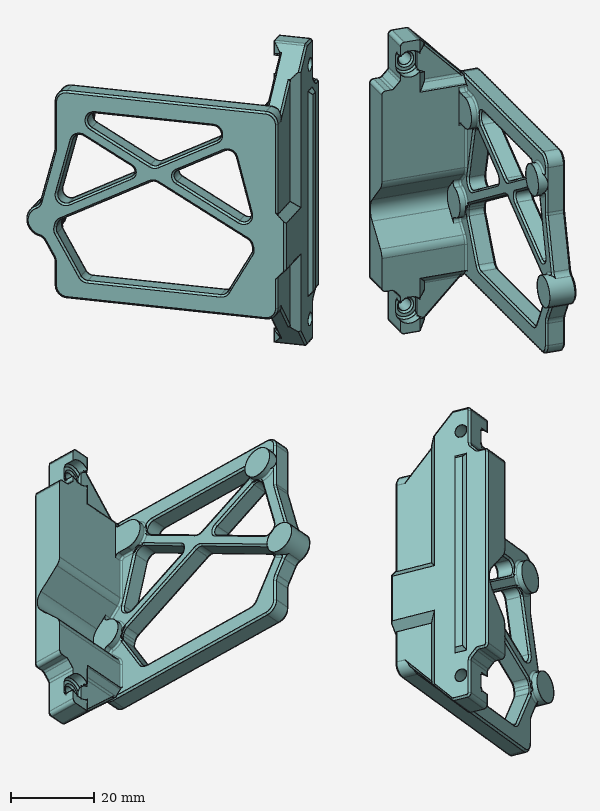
import cadquery as cq
import math


EDGE = 0.5
SMALL_RADIUS = 1.0

PLATE_LEFT = -58.2
PLATE_RIGHT = -2.1
PLATE_HALF_HEIGHT = 26.5
PLATE_THICKNESS = 5.0
PLATE_CORNER_RADIUS = 3.0
EAR_UPPER_Z = 11.25
EAR_LOWER_Z = -16.9
EAR_BLEND_RADIUS = 2.0
EAR_UPPER_LEAN = 15
EAR_LOWER_LEAN = 30

FRAME_MARGIN = 5.0
WINDOW_RADIUS = 2.0
SIDE_WINDOW_TIP_RADIUS = 1.55
STRUT_WIDTH = 3.0
STRUT_ANGLE = 28
CROSS_Z = 7.6
UPPER_SIDE_MARGIN = 3.55
PIVOT_SIDE_MARGIN = 5.5
LOWER_SIDE_MARGIN = 3.85

BOSS_RADIUS = 4.0
BOSS_TOP_Y = 7.0
BOSS_START_Y = PLATE_THICKNESS / 2
PIVOT_X = -61.4
PIVOT_Z = -7.5
UPPER_LEFT_BOSS_X = -54.2
UPPER_BOSS_Z = 19.0
REST_X = -BOSS_RADIUS - SMALL_RADIUS
MIDDLE_X = (PIVOT_X + REST_X) / 2
UPPER_RIGHT_BOSS_X = 2 * MIDDLE_X - UPPER_LEFT_BOSS_X

WALL_THICKNESS = 8.25
WALL_DEPTH = 27.0
TAB_HALF_HEIGHT = 38.5
TAB_FRONT_Y = 17.1
TAB_BACK_Y = 22.2
TAB_STEP = 2.0
GROOVE_LIP_RADIUS = 3.0
RELIEF_DEPTH_Y = 12.25
POCKET_DEPTH = 2.0
POCKET_START_Z = 24.5

HOLE_Y = (TAB_FRONT_Y + TAB_BACK_Y) / 2
HOLE_Z = 32.5
HOLE_DIAMETER = 3.2
SCREW_SEAT_RADIUS = 3.5
SCREW_SEAT_DEPTH = 3.0
FLARE_NARROW = 2.8
FLARE_WIDE = 3.7

RIDGE_HEIGHT = 1.0
RIDGE_HALF_LENGTH = 26.2
RIDGE_BASE_HALF_WIDTH = 1.6
RIDGE_TOP_HALF_WIDTH = 1.0

OVER = 7.7
PICK_REACH = 0.1


def prism_y(points, y_start, y_end):
    """Extrude an outline of (x, z) points along Y."""
    base = cq.Workplane("XZ", origin=(0, y_start, 0))
    return base.polyline(points).close().extrude(y_start - y_end)


def prism_x(points, x_start, x_end):
    """Extrude an outline of (y, z) points along X."""
    base = cq.Workplane("YZ", origin=(x_start, 0, 0))
    return base.polyline(points).close().extrude(x_end - x_start)


def cylinder_y(x, z, radius, y_start, y_end):
    """Cylinder along Y about the point (x, z)."""
    base = cq.Workplane("XZ", origin=(0, y_start, 0)).center(x, z)
    return base.circle(radius).extrude(y_start - y_end)


def meet(line_a, line_b):
    """Crossing point of two lines, each given as (x, z, angle in degrees)."""
    ax, az, a_angle = line_a
    bx, bz, b_angle = line_b
    a_dx, a_dz = math.cos(math.radians(a_angle)), math.sin(math.radians(a_angle))
    b_dx, b_dz = math.cos(math.radians(b_angle)), math.sin(math.radians(b_angle))
    along = ((bx - ax) * b_dz - (bz - az) * b_dx) / (a_dx * b_dz - a_dz * b_dx)
    return ax + along * a_dx, az + along * a_dz


def mirrored(point):
    """Mirror an (x, z) point left to right in the window pattern."""
    return 2 * MIDDLE_X - point[0], point[1]


def fillet_along_y(body, x, z, radius):
    """Round the edge along Y that passes through (x, z)."""
    box = cq.selectors.BoxSelector(
        (x - PICK_REACH, -OVER, z - PICK_REACH),
        (x + PICK_REACH, WALL_DEPTH + OVER, z + PICK_REACH))
    return body.edges("|Y").edges(box).fillet(radius)


UPPER_EDGE = (PLATE_LEFT, EAR_UPPER_Z, 90 - EAR_UPPER_LEAN)
LOWER_EDGE = (PLATE_LEFT, EAR_LOWER_Z, 90 + EAR_LOWER_LEAN)


def plate_blank(thickness, edge_chamfer):
    """Plate without windows, its outline leaning out to a round ear at the pivot."""
    outline = [
        (PLATE_LEFT, PLATE_HALF_HEIGHT),
        (PLATE_RIGHT, PLATE_HALF_HEIGHT),
        (PLATE_RIGHT, -PLATE_HALF_HEIGHT),
        (PLATE_LEFT, -PLATE_HALF_HEIGHT),
        (PLATE_LEFT, EAR_LOWER_Z),
        meet(UPPER_EDGE, LOWER_EDGE),
        (PLATE_LEFT, EAR_UPPER_Z),
    ]
    body = prism_y(outline, 0, thickness)
    for x, z in outline:
        if x in (PLATE_LEFT, PLATE_RIGHT):
            body = fillet_along_y(body, x, z, PLATE_CORNER_RADIUS)
    body = body.union(cylinder_y(PIVOT_X, PIVOT_Z, BOSS_RADIUS, 0, thickness))
    near_pivot = cq.selectors.BoxSelector(
        (PIVOT_X - BOSS_RADIUS, 0, PIVOT_Z - BOSS_RADIUS),
        (PIVOT_X + BOSS_RADIUS / 2, thickness, PIVOT_Z + BOSS_RADIUS))
    body = body.edges("|Y").edges(near_pivot).fillet(EAR_BLEND_RADIUS)
    return body.faces("<Y or >Y").edges().chamfer(edge_chamfer)


def window_cutter(points, tip_radius):
    """Opening through the plate that widens at both faces to chamfer its rim.

    The first point is the tip of the window, at the crossing of the struts.
    """
    opening = prism_y(points, 0, PLATE_THICKNESS + EDGE)
    opening = fillet_along_y(opening, *points[0], tip_radius)
    for x, z in points[1:]:
        opening = fillet_along_y(opening, x, z, WINDOW_RADIUS)
    outline = opening.faces("<Y").wires().toPending().workplane()
    rim = outline.extrude(EDGE, combine=False, taper=-45).translate((0, EDGE, 0))
    back_rim = rim.mirror("XZ").translate((0, PLATE_THICKNESS, 0))
    return opening.union(rim).union(back_rim)


def windows():
    """Four openings left between the frame and two crossing struts."""
    half_gap = STRUT_WIDTH / 2 / math.cos(math.radians(STRUT_ANGLE))
    apex_top = (MIDDLE_X, CROSS_Z + half_gap)
    apex_bottom = (MIDDLE_X, CROSS_Z - half_gap)
    frame_z = PLATE_HALF_HEIGHT - FRAME_MARGIN
    upper_shift = UPPER_SIDE_MARGIN / math.cos(math.radians(EAR_UPPER_LEAN))
    lower_shift = LOWER_SIDE_MARGIN / math.cos(math.radians(EAR_LOWER_LEAN))
    upper_side = (PLATE_LEFT + upper_shift, EAR_UPPER_Z, 90 - EAR_UPPER_LEAN)
    pivot_shift = PIVOT_SIDE_MARGIN / math.cos(math.radians(EAR_UPPER_LEAN))
    pivot_side = (PLATE_LEFT + pivot_shift, EAR_UPPER_Z, 90 - EAR_UPPER_LEAN)
    lower_side = (PLATE_LEFT + lower_shift, EAR_LOWER_Z, 90 + EAR_LOWER_LEAN)
    rising_top = (*apex_top, STRUT_ANGLE)
    rising_bottom = (*apex_bottom, STRUT_ANGLE)
    falling_top = (*apex_top, -STRUT_ANGLE)
    falling_bottom = (*apex_bottom, -STRUT_ANGLE)

    top_corner = meet(falling_top, (MIDDLE_X, frame_z, 0))
    top = [apex_top, top_corner, mirrored(top_corner)]
    left = [
        meet(falling_bottom, rising_top),
        meet(falling_bottom, upper_side),
        meet(rising_top, upper_side),
    ]
    right = [mirrored(point) for point in left]
    bottom_left = [
        meet(rising_bottom, pivot_side),
        meet(pivot_side, lower_side),
        meet(lower_side, (MIDDLE_X, -frame_z, 0)),
    ]
    bottom_right = [mirrored(point) for point in reversed(bottom_left)]
    bottom = [apex_bottom] + bottom_left + bottom_right
    cutters = [window_cutter(points, WINDOW_RADIUS) for points in (top, bottom)]
    cutters += [window_cutter(points, SIDE_WINDOW_TIP_RADIUS) for points in (left, right)]
    return cutters


def wall_blank():
    """Wall with a tab at each end, its front corners sloping at 45 degrees."""
    upper = [
        (0, TAB_HALF_HEIGHT - TAB_FRONT_Y),
        (TAB_FRONT_Y, TAB_HALF_HEIGHT),
        (TAB_BACK_Y, TAB_HALF_HEIGHT),
        (TAB_BACK_Y, PLATE_HALF_HEIGHT + TAB_STEP),
        (TAB_BACK_Y + TAB_STEP, PLATE_HALF_HEIGHT),
        (WALL_DEPTH, PLATE_HALF_HEIGHT),
    ]
    lower = [(y, -z) for y, z in reversed(upper)]
    body = prism_x(upper + lower, -WALL_THICKNESS, 0)
    rounded = cq.selectors.BoxSelector(
        (-WALL_THICKNESS, EDGE, -TAB_HALF_HEIGHT - 0.8), (0, WALL_DEPTH + 0.8, TAB_HALF_HEIGHT + 0.8))
    return body.edges("|X").edges(rounded).fillet(SMALL_RADIUS)


def relief():
    """Relief on the outer face beside the plate, interrupted behind the groove."""
    depth = -PLATE_RIGHT
    section = [
        (PLATE_RIGHT - EDGE, 0),
        (PLATE_RIGHT, EDGE),
        (PLATE_RIGHT, RELIEF_DEPTH_Y - depth),
        (0, RELIEF_DEPTH_Y),
        (0, 0),
    ]
    cutter = cq.Workplane("XY").polyline(section).close().extrude(TAB_HALF_HEIGHT, both=True)
    half_base = 2 * BOSS_RADIUS
    half_tip = half_base - depth
    kept = prism_y([
        (PLATE_RIGHT - EDGE, PIVOT_Z + half_base + EDGE),
        (0, PIVOT_Z + half_tip),
        (0, PIVOT_Z - half_tip),
        (PLATE_RIGHT - EDGE, PIVOT_Z - half_base - EDGE),
    ], 0, WALL_DEPTH)
    return cutter.cut(kept)


def cut_groove(body):
    """V groove with 45 degree flanks and a round bottom that fits a boss."""
    tangent = BOSS_RADIUS / math.sqrt(2)
    half_mouth = BOSS_RADIUS * math.sqrt(2) + WALL_THICKNESS + REST_X
    section = (
        cq.Workplane("XZ")
        .moveTo(-WALL_THICKNESS, PIVOT_Z + half_mouth)
        .lineTo(REST_X + tangent, PIVOT_Z + tangent)
        .threePointArc((REST_X + BOSS_RADIUS, PIVOT_Z), (REST_X + tangent, PIVOT_Z - tangent))
        .lineTo(-WALL_THICKNESS, PIVOT_Z - half_mouth)
        .close()
    )
    body = body.cut(section.extrude(-WALL_DEPTH))
    for side in (1, -1):
        body = fillet_along_y(body, -WALL_THICKNESS, PIVOT_Z + side * half_mouth, GROOVE_LIP_RADIUS)
    return body


def tab_pocket():
    """Shallow pocket on the inner face of the upper tab, with 45 degree sides."""
    floor_x = -WALL_THICKNESS + POCKET_DEPTH
    end_z = TAB_HALF_HEIGHT + OVER
    section = [
        (-WALL_THICKNESS - OVER, POCKET_START_Z),
        (-WALL_THICKNESS, POCKET_START_Z),
        (floor_x, POCKET_START_Z + POCKET_DEPTH),
        (floor_x, end_z),
        (-WALL_THICKNESS - OVER, end_z),
    ]
    pocket = prism_y(section, 0, TAB_FRONT_Y)
    for x, z in (section[1], section[2]):
        pocket = fillet_along_y(pocket, x, z, SMALL_RADIUS)
    back_slope = [
        (-WALL_THICKNESS, TAB_FRONT_Y),
        (floor_x, TAB_FRONT_Y),
        (floor_x, TAB_FRONT_Y - POCKET_DEPTH),
    ]
    slope = cq.Workplane("XY").polyline(back_slope).close().extrude(end_z)
    return pocket.cut(slope)


def slope_chamfer(edge_x, side, end_y):
    """Cutter that chamfers an edge running up the slope of the upper tab.

    The edge lies at edge_x and ends at end_y; the wall is on the given side of it in X.
    """
    slope_start = TAB_HALF_HEIGHT - TAB_FRONT_Y
    section = [(edge_x, EDGE), (edge_x, 0), (edge_x + side * EDGE, 0)]
    upright = cq.Workplane("XY").polyline(section).close().extrude(end_y * math.sqrt(2))
    return upright.rotate((0, 0, 0), (1, 0, 0), -45).translate((0, 0, slope_start))


def screw_seat():
    """Stepped hole in the upper tab; the seat flares out toward the plate."""
    inner_face = cq.Workplane("YZ", origin=(-WALL_THICKNESS, 0, 0)).center(HOLE_Y, HOLE_Z)
    seat = inner_face.circle(SCREW_SEAT_RADIUS).extrude(SCREW_SEAT_DEPTH)
    seat = seat.faces(">X").edges().chamfer(EDGE)
    clear_of_pocket = cq.Workplane("XY").box(OVER, OVER, OVER, centered=(False, False, True))
    seat = seat.intersect(clear_of_pocket.translate((-WALL_THICKNESS, TAB_FRONT_Y, HOLE_Z)))

    hole = inner_face.circle(HOLE_DIAMETER / 2).extrude(WALL_THICKNESS)
    floor = inner_face.workplane(offset=SCREW_SEAT_DEPTH)
    countersink = floor.circle(HOLE_DIAMETER / 2 + EDGE).workplane(offset=EDGE)
    countersink = countersink.circle(HOLE_DIAMETER / 2).loft()

    flare = prism_x([
        (TAB_FRONT_Y, HOLE_Z + FLARE_NARROW),
        (TAB_FRONT_Y - POCKET_DEPTH, HOLE_Z + FLARE_WIDE),
        (TAB_FRONT_Y - POCKET_DEPTH, HOLE_Z - FLARE_WIDE),
        (TAB_FRONT_Y, HOLE_Z - FLARE_NARROW),
    ], -WALL_THICKNESS, -WALL_THICKNESS + POCKET_DEPTH)
    return seat.union(hole).union(countersink).union(flare)


def ridge():
    """Long ridge with sloping sides and ends, in line with the screw holes."""
    base = cq.Workplane("YZ").center(HOLE_Y, 0)
    base = base.rect(2 * RIDGE_BASE_HALF_WIDTH, 2 * RIDGE_HALF_LENGTH)
    top_length = 2 * (RIDGE_HALF_LENGTH - RIDGE_HEIGHT)
    return base.workplane(offset=RIDGE_HEIGHT).rect(2 * RIDGE_TOP_HALF_WIDTH, top_length).loft()


def wall():
    """Side wall with its groove, relief, screw tabs and ridge."""
    body = wall_blank().faces(">X").edges().chamfer(EDGE)
    body = cut_groove(body.cut(relief()))
    pocket_floor_x = -WALL_THICKNESS + POCKET_DEPTH
    upper_tab_cuts = [
        tab_pocket(),
        slope_chamfer(pocket_floor_x, 1, TAB_FRONT_Y - POCKET_DEPTH),
        slope_chamfer(PLATE_RIGHT, -1, RELIEF_DEPTH_Y + PLATE_RIGHT),
        screw_seat(),
    ]
    for cut in upper_tab_cuts:
        body = body.cut(cut).cut(cut.mirror("XY"))
    return body.union(ridge())


def rest_boss():
    """Boss resting in the groove, blended into both flanks."""
    boss = cylinder_y(REST_X, PIVOT_Z, BOSS_RADIUS, 0, BOSS_TOP_Y)
    blend_along = 2 * math.sqrt(BOSS_RADIUS * SMALL_RADIUS)
    blend_towards = BOSS_RADIUS - SMALL_RADIUS
    touch = BOSS_RADIUS / (BOSS_RADIUS + SMALL_RADIUS)
    to_boss = math.pi + math.atan2(blend_towards, blend_along)
    to_middle = (to_boss + math.pi / 2) / 2
    middle_along = blend_along + SMALL_RADIUS * math.cos(to_middle)
    middle_towards = blend_towards + SMALL_RADIUS * math.sin(to_middle)

    def at(along, towards, side):
        x = REST_X + (towards - along) / math.sqrt(2)
        z = PIVOT_Z + side * (towards + along) / math.sqrt(2)
        return x, z

    for side in (1, -1):
        blend = (
            cq.Workplane("XZ")
            .moveTo(*at(blend_along * touch, blend_towards * touch, side))
            .threePointArc(at(middle_along, middle_towards, side), at(blend_along, BOSS_RADIUS, side))
            .lineTo(*at(0, BOSS_RADIUS, side))
            .lineTo(REST_X, PIVOT_Z)
            .close()
            .extrude(-BOSS_TOP_Y)
        )
        boss = boss.union(blend)
    return boss


def wall_with_bosses():
    """Wall joined to the bosses; the upper right boss runs straight into it."""
    web_end_x = -WALL_THICKNESS + EDGE
    web = prism_y([
        (UPPER_RIGHT_BOSS_X, UPPER_BOSS_Z + BOSS_RADIUS),
        (web_end_x, UPPER_BOSS_Z + BOSS_RADIUS),
        (web_end_x, UPPER_BOSS_Z - BOSS_RADIUS),
        (UPPER_RIGHT_BOSS_X, UPPER_BOSS_Z - BOSS_RADIUS),
    ], 0, BOSS_TOP_Y)
    body = wall().union(web)
    for side in (1, -1):
        web_side_z = UPPER_BOSS_Z + side * BOSS_RADIUS
        body = fillet_along_y(body, -WALL_THICKNESS, web_side_z, SMALL_RADIUS)
    body = body.union(rest_boss())
    round_bosses = [
        (PIVOT_X, PIVOT_Z),
        (UPPER_LEFT_BOSS_X, UPPER_BOSS_Z),
        (UPPER_RIGHT_BOSS_X, UPPER_BOSS_Z),
    ]
    for x, z in round_bosses:
        body = body.union(cylinder_y(x, z, BOSS_RADIUS, BOSS_START_Y, BOSS_TOP_Y))
    return body


def left_boss_feet():
    """Rounded blends at the foot of the pivot and the upper left boss."""
    profile = (
        cq.Workplane("XY")
        .moveTo(0, PLATE_THICKNESS)
        .lineTo(BOSS_RADIUS + EDGE, PLATE_THICKNESS)
        .radiusArc((BOSS_RADIUS, PLATE_THICKNESS + EDGE), EDGE)
        .lineTo(0, PLATE_THICKNESS + EDGE)
        .close()
    )
    foot = profile.revolve(360, (0, 0, 0), (0, 1, 0))
    feet = foot.translate((PIVOT_X, 0, PIVOT_Z))
    feet = feet.union(foot.translate((UPPER_LEFT_BOSS_X, 0, UPPER_BOSS_Z)))
    return feet.intersect(plate_blank(PLATE_THICKNESS + EDGE, 2 * EDGE))


def bracket():
    """Plate, wall and bosses joined, with the windows cut last."""
    body = plate_blank(PLATE_THICKNESS, EDGE).union(wall_with_bosses())
    wall_foot = cq.selectors.BoxSelector(
        (-WALL_THICKNESS - PICK_REACH, PLATE_THICKNESS - PICK_REACH, EAR_LOWER_Z),
        (-WALL_THICKNESS + PICK_REACH, PLATE_THICKNESS + PICK_REACH, UPPER_BOSS_Z))
    body = body.edges("|Z").edges(wall_foot).fillet(EDGE)
    body = body.union(left_boss_feet())
    for window in windows():
        body = body.cut(window)
    return body


result = bracket()